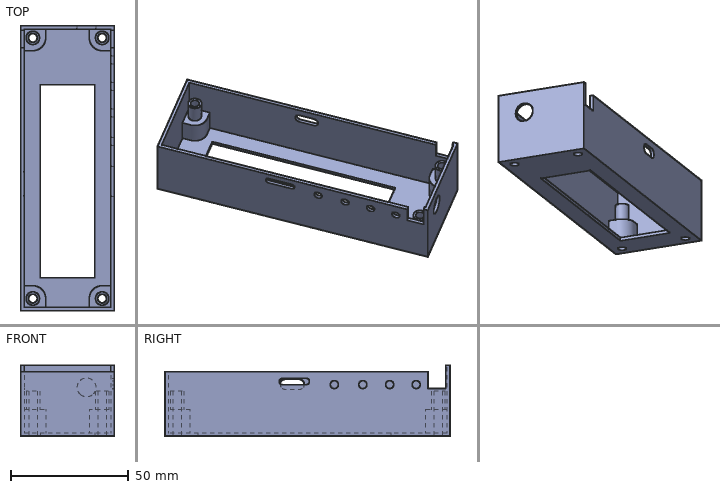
import cadquery as cq

width = 40.0
length = 121.5
back_height = 30.3
rim_height = 27.5
wall = 1.5
floor = 1.5
cut_margin = 1.2

half_width = width / 2
half_length = length / 2

notch_front = 9.4
notch_back = 2.0
notch_floor = 20.4

window_width = 23.1
window_length = 82.1
window_y = -5.6

post_inset = 5.2
block_radius = 5.5
block_height = 10.0
post_diameter = 5.7
post_height = 8.0
bore_diameter = 3.6

cable_hole_diameter = 8.0
cable_hole_x = 8.0
cable_hole_z = 20.9

button_hole_diameter = 3.4
button_hole_z = 22.0
button_hole_ys = (46.3, 35.0, 23.6, 11.4)

right_slot_length = 12.9
right_slot_height = 2.7
right_slot_y = -5.6
right_slot_z = 23.3

left_slot_length = 10.2
left_slot_height = 4.1
left_slot_y = -6.6
left_slot_z = 22.1


def box_between(x0, x1, y0, y1, z0, z1):
    return cq.Workplane("XY").box(x1 - x0, y1 - y0, z1 - z0, centered=False).translate((x0, y0, z0))


def tray():
    """Open box whose back end wall stands higher than the other walls."""
    body = box_between(-half_width, half_width, -half_length, half_length, 0, back_height)
    cavity = box_between(
        wall - half_width, half_width - wall,
        wall - half_length, half_length - wall,
        floor, back_height + cut_margin,
    )
    above_rim = box_between(
        -half_width - cut_margin, half_width + cut_margin,
        -half_length - cut_margin, half_length - notch_back,
        rim_height, back_height + cut_margin,
    )
    notches = box_between(
        -half_width - cut_margin, half_width + cut_margin,
        half_length - notch_front, half_length - notch_back,
        notch_floor, back_height + cut_margin,
    )
    return body.cut(cavity).cut(above_rim).cut(notches)


def corner_support():
    """Block and post for the +X +Y corner, overlapping the walls and floor behind it."""
    post_x = half_width - post_inset
    post_y = half_length - post_inset
    outer_x = half_width - wall / 2
    outer_y = half_length - wall / 2
    block_top = floor + block_height
    block = (
        box_between(
            post_x - block_radius, outer_x,
            post_y - block_radius, outer_y,
            0, block_top,
        )
        .edges("|Z").edges("<X and <Y")
        .fillet(block_radius)
    )
    post = (
        cq.Workplane("XY", origin=(post_x, post_y, 0))
        .circle(post_diameter / 2)
        .extrude(block_top + post_height)
    )
    return block.union(post)


def wall_slot(x, y, z, slot_length, slot_height):
    """Cutter for a round-ended slot along Y through the side wall at x."""
    return (
        cq.Workplane("YZ", origin=(x, y, z))
        .slot2D(slot_length, slot_height)
        .extrude(wall + cut_margin, both=True)
    )


result = tray()

support = corner_support()
back_pair = support.union(support.mirror("YZ"))
result = result.union(back_pair).union(back_pair.mirror("XZ"))

bores = (
    cq.Workplane("XY")
    .rect(width - 2 * post_inset, length - 2 * post_inset, forConstruction=True)
    .vertices()
    .circle(bore_diameter / 2)
    .extrude(back_height)
)
result = result.cut(bores)

window = (
    cq.Workplane("XY", origin=(0, window_y, 0))
    .rect(window_width, window_length)
    .extrude(floor)
)
result = result.cut(window)

cable_hole = (
    cq.Workplane("XZ", origin=(cable_hole_x, half_length, cable_hole_z))
    .circle(cable_hole_diameter / 2)
    .extrude(wall)
)
result = result.cut(cable_hole)

button_holes = (
    cq.Workplane("YZ", origin=(half_width - wall, 0, button_hole_z))
    .pushPoints([(y, 0) for y in button_hole_ys])
    .circle(button_hole_diameter / 2)
    .extrude(wall)
)
result = result.cut(button_holes)

right_slot = wall_slot(half_width, right_slot_y, right_slot_z, right_slot_length, right_slot_height)
left_slot = wall_slot(-half_width, left_slot_y, left_slot_z, left_slot_length, left_slot_height)
result = result.cut(right_slot).cut(left_slot)